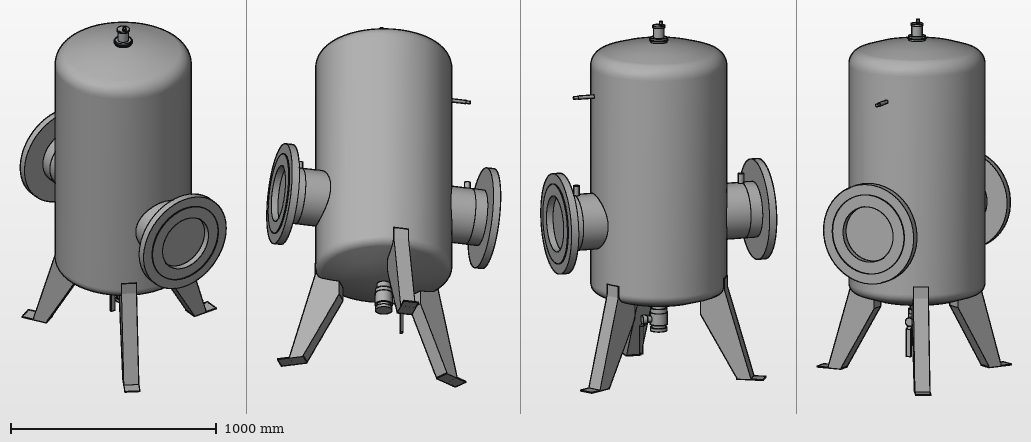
import cadquery as cq
import math

SHELL_RADIUS = 664.0 / 2
CROWN_RADIUS = 845.0
TOP_KNUCKLE_RADIUS = 74.0
BOTTOM_KNUCKLE_RADIUS = 45.0
HEAD_OVERLAP = 18.0
SHELL_BOTTOM = 458.0
SHELL_TOP = 1542.0

NOZZLE_HEIGHT = 787.0
PIPE_RADIUS = 273.0 / 2
STUB_END = 428.0
NOZZLE_END = 530.0
FLANGE_RADIUS = 491.0 / 2
FLANGE_THICKNESS = 37.0
RAISED_FACE_RADIUS = 195.0
RAISED_FACE_HEIGHT = 5.0
PIPE_SETBACK = 33.0
PLUG_X = 420.0
PLUG_RADIUS = 14.0
PLUG_TOP = 970.0

PROBE_HEIGHT = 1410.0
PROBE_RADIUS = 9.0
PROBE_SHOULDER_X = 412.0
PROBE_TIP_RADIUS = 7.0
PROBE_TIP_X = 435.0

VENT_DISCS = [
    (40.0, 1668.0),
    (45.0, 1672.0),
    (40.0, 1680.0),
    (26.0, 1732.0),
    (30.0, 1740.0),
]
VENT_PIN_X = 10.0
VENT_PIN_RADIUS = 7.0
VENT_PIN_FOOT_RADIUS = 9.0
VENT_PIN_FOOT_TOP = 1746.0
VENT_TOP = 1760.0

VALVE_DISCS = [
    (33.0, 330.0),
    (40.0, 308.0),
    (42.0, 248.0),
    (33.0, 232.0),
    (40.0, 216.0),
]
STEM_HEIGHT = 276.0
STEM_RADIUS = 15.0
KNOB_RADIUS = 21.0
KNOB_INNER_X = 62.0
KNOB_OUTER_X = 85.0
LEVER_WIDTH = 23.0
LEVER_THICKNESS = 10.0
LEVER_X = 90.0
LEVER_ROOT_X = 70.0
LEVER_BEND = 243.0
LEVER_BOTTOM = 107.0

LEG_ANGLES = (90, 210, 330)
LEG_WIDTH = 74.0
LEG_STANDOFF = 4.0
LEG_FACE_RADIUS = SHELL_RADIUS + LEG_STANDOFF
LEG_TOP = 500.0
LEG_BEND = 442.0
LEG_INNER_RADIUS = 215.0
LEG_INNER_BOTTOM = 317.0
LEG_FOOT_INNER = 396.0
LEG_FOOT_OUTER = 466.0
FOOT_END = 526.0
FOOT_THICKNESS = 5.0


def disc(radius, bottom, top, x=0):
    """Upright cylinder between two heights."""
    return cq.Workplane("XY", origin=(x, 0, bottom)).circle(radius).extrude(top - bottom)


def rod(radius, x_start, x_end, height):
    """Horizontal cylinder along X between two X positions."""
    return cq.Workplane("YZ", origin=(x_start, 0, height)).circle(radius).extrude(x_end - x_start)


def head_points(knuckle_radius):
    """Knuckle middle, knuckle end, crown middle and apex as (radius, height above the shell end)."""
    knuckle_centre = SHELL_RADIUS - knuckle_radius
    crown_angle = math.asin(knuckle_centre / (CROWN_RADIUS - knuckle_radius))
    crown_centre = -(CROWN_RADIUS - knuckle_radius) * math.cos(crown_angle)

    def on_knuckle(angle):
        return (knuckle_centre + knuckle_radius * math.sin(angle), knuckle_radius * math.cos(angle))

    def on_crown(angle):
        return (CROWN_RADIUS * math.sin(angle), crown_centre + CROWN_RADIUS * math.cos(angle))

    knuckle_middle = on_knuckle((math.pi / 2 + crown_angle) / 2)
    return knuckle_middle, on_knuckle(crown_angle), on_crown(crown_angle / 2), on_crown(0)


TOP_APEX = SHELL_TOP + head_points(TOP_KNUCKLE_RADIUS)[-1][1]
BOTTOM_APEX = SHELL_BOTTOM - head_points(BOTTOM_KNUCKLE_RADIUS)[-1][1]


def make_shell():
    """Closed vessel with a dished head at each end."""
    top = [(r, SHELL_TOP + h) for r, h in head_points(TOP_KNUCKLE_RADIUS)]
    bottom = [(r, SHELL_BOTTOM - h) for r, h in head_points(BOTTOM_KNUCKLE_RADIUS)]
    return (
        cq.Workplane("XZ")
        .moveTo(*bottom[3])
        .threePointArc(bottom[2], bottom[1])
        .threePointArc(bottom[0], (SHELL_RADIUS, SHELL_BOTTOM))
        .lineTo(SHELL_RADIUS, SHELL_TOP)
        .threePointArc(top[0], top[1])
        .threePointArc(top[2], top[3])
        .close()
        .revolve(360, (0, 0, 0), (0, 1, 0))
    )


def make_vent():
    """Air vent with an off-centre pin on its cap."""
    vent = None
    bottom = TOP_APEX - HEAD_OVERLAP
    for radius, top in VENT_DISCS:
        layer = disc(radius, bottom, top)
        vent = layer if vent is None else vent.union(layer)
        bottom = top
    vent = vent.union(disc(VENT_PIN_FOOT_RADIUS, bottom, VENT_PIN_FOOT_TOP, VENT_PIN_X))
    return vent.union(disc(VENT_PIN_RADIUS, VENT_PIN_FOOT_TOP, VENT_TOP, VENT_PIN_X))


def make_nozzle(side):
    """Pipe end with its slip-on flange; side is -1 for -X and +1 for +X."""
    flange_face = NOZZLE_END - RAISED_FACE_HEIGHT
    flange_back = flange_face - FLANGE_THICKNESS
    pipe_end = NOZZLE_END - PIPE_SETBACK
    nozzle = rod(FLANGE_RADIUS, side * flange_back, side * flange_face, NOZZLE_HEIGHT)
    nozzle = nozzle.union(rod(RAISED_FACE_RADIUS, side * flange_face, side * NOZZLE_END, NOZZLE_HEIGHT))
    nozzle = nozzle.union(rod(PIPE_RADIUS, side * STUB_END, side * flange_back, NOZZLE_HEIGHT))
    return nozzle.cut(rod(PIPE_RADIUS, side * pipe_end, side * NOZZLE_END, NOZZLE_HEIGHT))


def make_vessel(nozzles):
    """Shell with its pipe stubs, plugs, probe stub and air vent."""
    vessel = make_shell()
    for side in (-1, 1):
        vessel = vessel.union(rod(PIPE_RADIUS, 0, side * STUB_END, NOZZLE_HEIGHT))
        vessel = vessel.union(disc(PLUG_RADIUS, NOZZLE_HEIGHT, PLUG_TOP, side * PLUG_X))
    vessel = vessel.union(rod(PROBE_RADIUS, 0, -PROBE_SHOULDER_X, PROBE_HEIGHT))
    vessel = vessel.union(rod(PROBE_TIP_RADIUS, -PROBE_SHOULDER_X, -PROBE_TIP_X, PROBE_HEIGHT))
    vessel = vessel.union(make_vent())
    for nozzle in nozzles:
        vessel = vessel.cut(nozzle)
    return vessel


def make_lever():
    """Bent flat lever hanging from the valve knob."""
    half = LEVER_THICKNESS / 2
    root = STEM_HEIGHT - KNOB_RADIUS
    return (
        cq.Workplane("XZ")
        .moveTo(-LEVER_X - half, LEVER_BOTTOM)
        .lineTo(-LEVER_X + half, LEVER_BOTTOM)
        .lineTo(-LEVER_X + half, LEVER_BEND)
        .lineTo(-LEVER_ROOT_X + half, root)
        .lineTo(-LEVER_ROOT_X + half, STEM_HEIGHT)
        .lineTo(-LEVER_ROOT_X - half, STEM_HEIGHT)
        .lineTo(-LEVER_ROOT_X - half, root)
        .lineTo(-LEVER_X - half, LEVER_BEND)
        .close()
        .extrude(LEVER_WIDTH / 2, both=True)
    )


def make_valve(vessel):
    """Drain valve whose nipple meets the bottom head, with its stem, knob and lever."""
    valve = None
    top = BOTTOM_APEX + HEAD_OVERLAP
    for radius, bottom in VALVE_DISCS:
        layer = disc(radius, bottom, top)
        valve = layer if valve is None else valve.union(layer)
        top = bottom
    valve = valve.union(rod(STEM_RADIUS, 0, -KNOB_INNER_X, STEM_HEIGHT))
    valve = valve.union(rod(KNOB_RADIUS, -KNOB_INNER_X, -KNOB_OUTER_X, STEM_HEIGHT))
    return valve.union(make_lever()).cut(vessel)


def make_leg(angle, vessel):
    """Leg in the radial plane at the given angle, trimmed to fit against the vessel."""
    leg = (
        cq.Workplane("XZ")
        .moveTo(LEG_FOOT_INNER, 0)
        .lineTo(FOOT_END, 0)
        .lineTo(FOOT_END, FOOT_THICKNESS)
        .lineTo(LEG_FOOT_OUTER, FOOT_THICKNESS)
        .lineTo(LEG_FACE_RADIUS, LEG_BEND)
        .lineTo(LEG_FACE_RADIUS, LEG_TOP)
        .lineTo(LEG_INNER_RADIUS, LEG_TOP)
        .lineTo(LEG_INNER_RADIUS, LEG_INNER_BOTTOM)
        .lineTo(LEG_FOOT_INNER, FOOT_THICKNESS)
        .close()
        .extrude(LEG_WIDTH / 2, both=True)
        .rotate((0, 0, 0), (0, 0, 1), angle)
    )
    return leg.cut(vessel)


nozzles = [make_nozzle(side) for side in (-1, 1)]
vessel = make_vessel(nozzles)
valve = make_valve(vessel)
legs = [make_leg(angle, vessel) for angle in LEG_ANGLES]

result = cq.Compound.makeCompound(
    [
        vessel.val(),
        valve.val(),
        *[nozzle.val() for nozzle in nozzles],
        *[leg.val() for leg in legs],
    ]
)